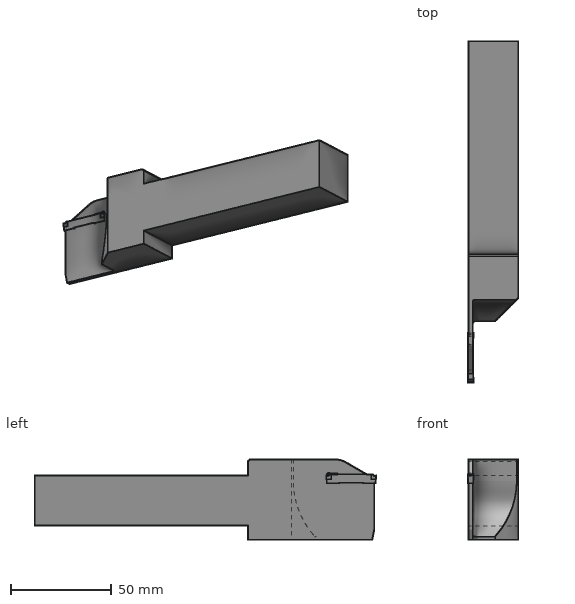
import cadquery as cq
import math


tool_length = 170.01
shank_size = 25.0
shank_length = 106.05
head_length = tool_length - shank_length
outer_face = 0.1
holder_width = shank_size - outer_face
head_rise = 8.0
head_drop = 7.0
head_top = shank_size + head_rise
head_bottom = -head_drop
head_edge_chamfer = 1.0

blade_thickness = 2.3
blade_inner_face = outer_face + blade_thickness
blade_front = 1.0
toe_height = 5.0
toe_depth = 1.0
slope_angle = 30.0
slope_corner = 17.65
slope_radius = 10.0

clearance_wall = 41.4
clearance_start = 22.3
clearance_radius = 41.0
foot_front = 30.65
blade_root_radius = 1.0
side_bevel_start = 42.25

insert_width = 3.0
insert_left = outer_face + (blade_thickness - insert_width) / 2
insert_right = insert_left + insert_width
insert_length = 25.0
side_relief = 0.15
ridge_height = shank_size + 0.5
seat_height = 21.4
pad_depth = 0.35
pad_length = 6.5
flank_inset = 0.4
chip_groove_start = 0.9
chip_groove_depth = 0.3
chip_groove_end = 1.8
head_depth = 2.5
flank_depth = 2.0

relief_diameter = 1.5
relief_inset = 1.3
slot_length = 4.5
slot_height = 0.45


def side_plate(points, x_start, x_end):
    """Plate with a Y-Z outline, lying between two X positions."""
    sketch_plane = cq.Workplane("YZ").workplane(offset=x_start)
    return sketch_plane.polyline(points).close().extrude(x_end - x_start)


def make_shank():
    """Rectangular bar that the tool is clamped by."""
    return (
        cq.Workplane("XY")
        .box(holder_width, shank_length, shank_size, centered=False)
        .translate((outer_face, head_length, 0))
    )


def make_head():
    """Head block with the blade left standing beside the curved clearance."""
    slope_run = (head_top - shank_size) / math.tan(math.radians(slope_angle))
    outline = [
        (head_length, head_bottom),
        (head_length, head_top),
        (slope_corner, head_top),
        (slope_corner - slope_run, shank_size),
        (blade_front, seat_height),
        (blade_front, head_bottom + toe_height),
        (blade_front + toe_depth, head_bottom),
    ]
    head = side_plate(outline, outer_face, shank_size)
    slope_edge = cq.NearestToPointSelector((shank_size / 2, slope_corner, head_top))
    head = head.edges(slope_edge).fillet(slope_radius)
    rear_edge = cq.NearestToPointSelector((shank_size / 2, head_length, head_top))
    head = head.edges(rear_edge).chamfer(head_edge_chamfer)
    return head.cut(make_clearance()).cut(make_side_bevel())


def make_clearance():
    """Space in front of the head block: flat wall above, concave arc below, rounded along the blade."""
    axis_y = clearance_wall - clearance_radius
    foot_top = clearance_start - math.sqrt(clearance_radius**2 - (foot_front - axis_y) ** 2)
    half_angle = math.acos((foot_front - axis_y) / clearance_radius) / 2
    arc_middle = (
        axis_y + clearance_radius * math.cos(half_angle),
        clearance_start - clearance_radius * math.sin(half_angle),
    )
    beyond = 10.0
    space = (
        cq.Workplane("YZ")
        .workplane(offset=blade_inner_face)
        .moveTo(-beyond, head_top + beyond)
        .lineTo(clearance_wall, head_top + beyond)
        .lineTo(clearance_wall, clearance_start)
        .threePointArc(arc_middle, (foot_front, foot_top))
        .lineTo(foot_front, head_bottom - beyond)
        .lineTo(-beyond, head_bottom - beyond)
        .close()
        .extrude(shank_size)
    )
    root_zone = cq.selectors.BoxSelector(
        (0, foot_front - beyond / 2, head_bottom - beyond),
        (shank_size, clearance_wall + beyond / 2, head_top + beyond / 2),
    )
    return space.faces("<X").edges(root_zone).fillet(blade_root_radius)


def make_side_bevel():
    """45 degree cut on the side of the head away from the blade."""
    bevel_run = shank_size - blade_inner_face
    corners = [
        (shank_size, side_bevel_start),
        (blade_inner_face, side_bevel_start - bevel_run),
        (shank_size, side_bevel_start - bevel_run),
    ]
    return (
        cq.Workplane("XY")
        .workplane(offset=head_bottom)
        .polyline(corners)
        .close()
        .extrude(head_top - head_bottom)
    )


def insert_outline():
    """Y-Z outline of the double-ended insert, the same at both ends."""
    front_half = [
        (flank_inset, seat_height - pad_depth),
        (0, shank_size),
        (chip_groove_start, shank_size - chip_groove_depth),
        (chip_groove_end, ridge_height),
    ]
    rear_half = [(insert_length - y, z) for y, z in reversed(front_half)]
    pads = [
        (insert_length - pad_length, seat_height - pad_depth),
        (insert_length - pad_length, seat_height),
        (pad_length, seat_height),
        (pad_length, seat_height - pad_depth),
    ]
    return front_half + rear_half + pads


def make_insert():
    """Insert with a slimmer middle and a full-width cutting head at each end."""
    core = side_plate(insert_outline(), insert_left + side_relief, insert_right - side_relief)
    full = side_plate(insert_outline(), insert_left, insert_right)
    flank_bottom = shank_size - flank_depth
    front_head = [
        (0, flank_bottom),
        (0, ridge_height),
        (head_depth, ridge_height),
        (head_depth, flank_bottom),
    ]
    rear_head = [(insert_length - y, z) for y, z in front_head]
    for corners in (front_head, rear_head):
        core = core.union(full.intersect(side_plate(corners, insert_left, insert_right)))
    return core


def make_relief():
    """Round hole and shallow slot above the buried end of the insert, through the blade."""
    hole_y = insert_length - relief_inset
    hole = (
        cq.Workplane("YZ")
        .workplane(offset=outer_face)
        .center(hole_y, ridge_height)
        .circle(relief_diameter / 2)
        .extrude(blade_thickness)
    )
    slot = (
        cq.Workplane("XY")
        .box(blade_thickness, slot_length, slot_height, centered=False)
        .translate((outer_face, hole_y - slot_length, ridge_height))
    )
    return hole.union(slot)


insert = make_insert()
pocket = side_plate(insert_outline(), insert_left, insert_right)
holder = make_head().union(make_shank()).cut(pocket).cut(make_relief())

result = cq.Compound.makeCompound([holder.val(), insert.val()])